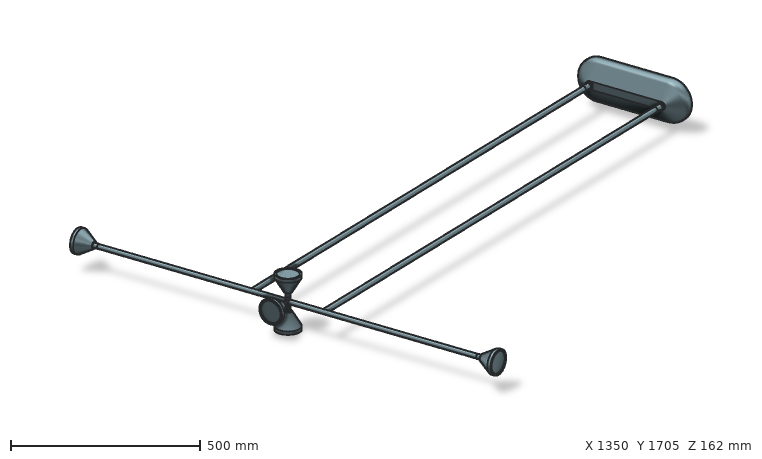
import cadquery as cq

overall_width = 1350.0
overall_depth = 1705.0
overall_height = 162.0

rim_diameter = 73.0
face_diameter = 63.0
face_depth = 2.0
rim_thickness = 10.0
lamp_length = 53.0
lamp_neck_diameter = 22.0
lamp_sleeve_length = 14.0

bar_diameter = 14.0
rod_diameter = 15.0
rod_spacing = 230.0
sleeve_step = 0.9

canopy_height = 125.0
canopy_depth = 53.0
canopy_wall_depth = 22.0
shoulder_radius = 19.0
ridge_width = 24.0
collar_diameter = 20.0
collar_length = 7.0
rod_sleeve_length = 22.0

lamp_reach = overall_height / 2
bar_reach = overall_width / 2
canopy_back = overall_depth - lamp_reach
canopy_shoulder = canopy_back - canopy_wall_depth
canopy_ridge = canopy_back - canopy_depth
rod_positions = (-rod_spacing / 2, rod_spacing / 2)


def cylinder(start, direction, diameter, length):
    """Round bar from a start point along a direction."""
    return cq.Workplane(cq.Solid.makeCylinder(diameter / 2, length, cq.Vector(*start), cq.Vector(*direction)))


def cone(start, direction, start_diameter, end_diameter, length):
    """Truncated cone from a start point along a direction."""
    solid = cq.Solid.makeCone(
        start_diameter / 2, end_diameter / 2, length, cq.Vector(*start), cq.Vector(*direction)
    )
    return cq.Workplane(solid)


def lamp_arm(direction, reach):
    """Tube from the origin to a lamp head whose rim ends at the given reach."""

    def along(distance):
        return tuple(distance * component for component in direction)

    neck = reach - lamp_length
    rim = reach - rim_thickness
    arm = cylinder((0, 0, 0), direction, bar_diameter, neck)
    sleeve_start = along(neck - lamp_sleeve_length)
    sleeve = cylinder(sleeve_start, direction, bar_diameter + sleeve_step, lamp_sleeve_length)
    flare = cone(along(neck), direction, lamp_neck_diameter, rim_diameter, rim - neck)
    disc = cylinder(along(rim), direction, rim_diameter, rim_thickness)
    sunken_face = cylinder(along(reach - face_depth), direction, face_diameter, face_depth)
    return arm.union(sleeve).union(flare).union(disc).cut(sunken_face)


def canopy():
    """Stadium-shaped wall with faces sloping in to the ridge that joins the two rods."""
    back_plane = cq.Workplane("XZ", origin=(0, canopy_back, 0))
    body = back_plane.slot2D(rod_spacing + canopy_height, canopy_height).extrude(canopy_wall_depth)

    front_depth = canopy_depth - canopy_wall_depth
    prism = (
        cq.Workplane("YZ", origin=(-rod_spacing / 2, 0, 0))
        .moveTo(canopy_shoulder, -canopy_height / 2)
        .lineTo(canopy_shoulder, canopy_height / 2)
        .lineTo(canopy_ridge, ridge_width / 2)
        .lineTo(canopy_ridge, -ridge_width / 2)
        .close()
        .extrude(rod_spacing)
    )
    body = body.union(prism)
    for x in rod_positions:
        body = body.union(cone((x, canopy_shoulder, 0), (0, -1, 0), canopy_height, ridge_width, front_depth))
    body = body.clean()

    tolerance = 0.2
    shoulder_edges = cq.selectors.BoxSelector(
        (-bar_reach, canopy_shoulder - tolerance, -canopy_height),
        (bar_reach, canopy_shoulder + tolerance, canopy_height),
        boundingbox=True,
    )
    return body.edges(shoulder_edges).fillet(shoulder_radius)


def rod(x):
    """Rod from the lamp bar to the canopy, with its collar and sleeve at the ridge."""
    toward_bar = (0, -1, 0)
    collar_end = canopy_ridge - collar_length
    tube = cylinder((x, canopy_ridge, 0), toward_bar, rod_diameter, canopy_ridge)
    collar = cylinder((x, canopy_ridge, 0), toward_bar, collar_diameter, collar_length)
    sleeve = cylinder((x, collar_end, 0), toward_bar, rod_diameter + sleeve_step, rod_sleeve_length)
    return tube.union(collar).union(sleeve)


result = canopy()
for rod_x in rod_positions:
    result = result.union(rod(rod_x))

for bar_direction in ((1, 0, 0), (-1, 0, 0)):
    result = result.union(lamp_arm(bar_direction, bar_reach))

for cluster_direction in ((0, 0, 1), (0, 0, -1), (0, -1, 0)):
    result = result.union(lamp_arm(cluster_direction, lamp_reach))